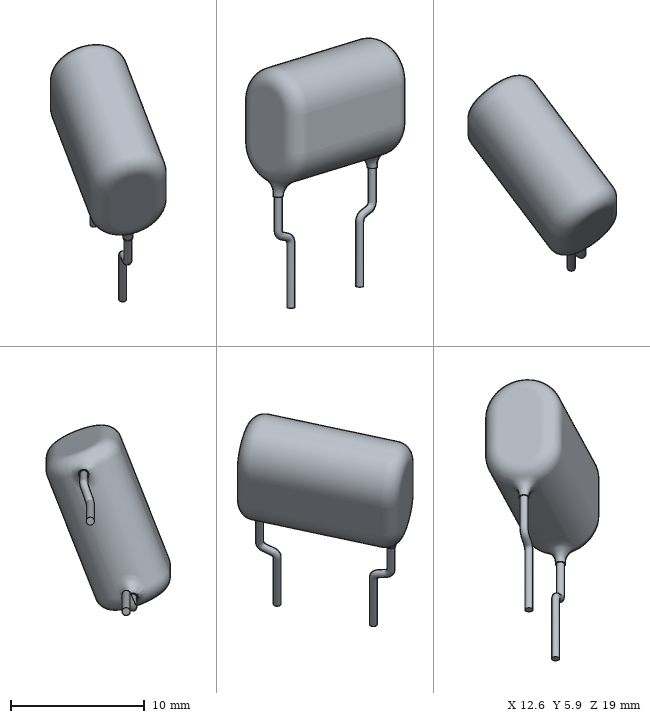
import cadquery as cq
import math

total_height = 19.0
housing_length = 12.6
housing_depth = 5.9
housing_height = 9.0
end_rounding = 1.25
housing_bottom = total_height - housing_height
housing_middle = housing_bottom + housing_height / 2

lead_diameter = 0.6
lead_root_x = 5.11
lead_tip_x = 3.75
jog_top_z = 6.33
bend_radius = 0.57
bend_angle = math.radians(70)
lead_embedding = 0.95

neck_radius = 0.38
neck_bottom_z = 8.99
neck_fillet = 1.18
neck_trim = 0.57


def make_capsule():
    """Stadium cross-section along X with rounded end edges."""
    capsule = (
        cq.Workplane("YZ")
        .center(0, housing_middle)
        .slot2D(housing_height, housing_depth, 90)
        .extrude(housing_length / 2, both=True)
    )
    return capsule.faces("<X or >X").edges().fillet(end_rounding)


def add_neck(body, side):
    """Collar around one lead, blended into the capsule and trimmed flat at its lower end."""
    blend_start_z = neck_bottom_z - neck_trim
    neck = (
        cq.Workplane("XY", origin=(side * lead_root_x, 0, blend_start_z))
        .circle(neck_radius)
        .extrude(housing_bottom + end_rounding - blend_start_z)
    )
    reach = 2 * neck_radius
    joint = cq.selectors.BoxSelector(
        (side * lead_root_x - reach, -reach, neck_bottom_z),
        (side * lead_root_x + reach, reach, housing_bottom + end_rounding),
        boundingbox=True,
    )
    trim = (
        cq.Workplane("XY", origin=(side * lead_root_x, 0, blend_start_z))
        .circle(reach)
        .extrude(neck_trim)
    )
    return body.union(neck).edges(joint).fillet(neck_fillet).cut(trim)


def make_lead(side):
    """Round wire: straight root, S-shaped jog towards the centre, straight tip."""
    offset = lead_root_x - lead_tip_x
    sine = math.sin(bend_angle)
    cosine = math.cos(bend_angle)
    bend_across = bend_radius * (1 - cosine)
    bend_drop = bend_radius * sine
    slant_across = offset - 2 * bend_across
    slant_drop = slant_across * cosine / sine
    jog_bottom_z = jog_top_z - 2 * bend_drop - slant_drop

    half = bend_angle / 2
    mid_across = bend_radius * (1 - math.cos(half))
    mid_drop = bend_radius * math.sin(half)

    def root_point(across, drop):
        return (side * (lead_root_x - across), jog_top_z - drop)

    def tip_point(across, rise):
        return (side * (lead_tip_x + across), jog_bottom_z + rise)

    path = (
        cq.Workplane("XZ")
        .moveTo(side * lead_root_x, housing_bottom + lead_embedding)
        .lineTo(*root_point(0, 0))
        .threePointArc(root_point(mid_across, mid_drop), root_point(bend_across, bend_drop))
        .lineTo(*tip_point(bend_across, bend_drop))
        .threePointArc(tip_point(mid_across, mid_drop), tip_point(0, 0))
        .lineTo(side * lead_tip_x, 0)
    )
    return (
        cq.Workplane("XY", origin=(side * lead_root_x, 0, housing_bottom + lead_embedding))
        .circle(lead_diameter / 2)
        .sweep(path)
    )


sides = (-1, 1)
leads = [make_lead(side) for side in sides]

housing = make_capsule()
for side in sides:
    housing = add_neck(housing, side)
for lead in leads:
    housing = housing.cut(lead)

result = cq.Compound.makeCompound([housing.val(), *[lead.val() for lead in leads]])